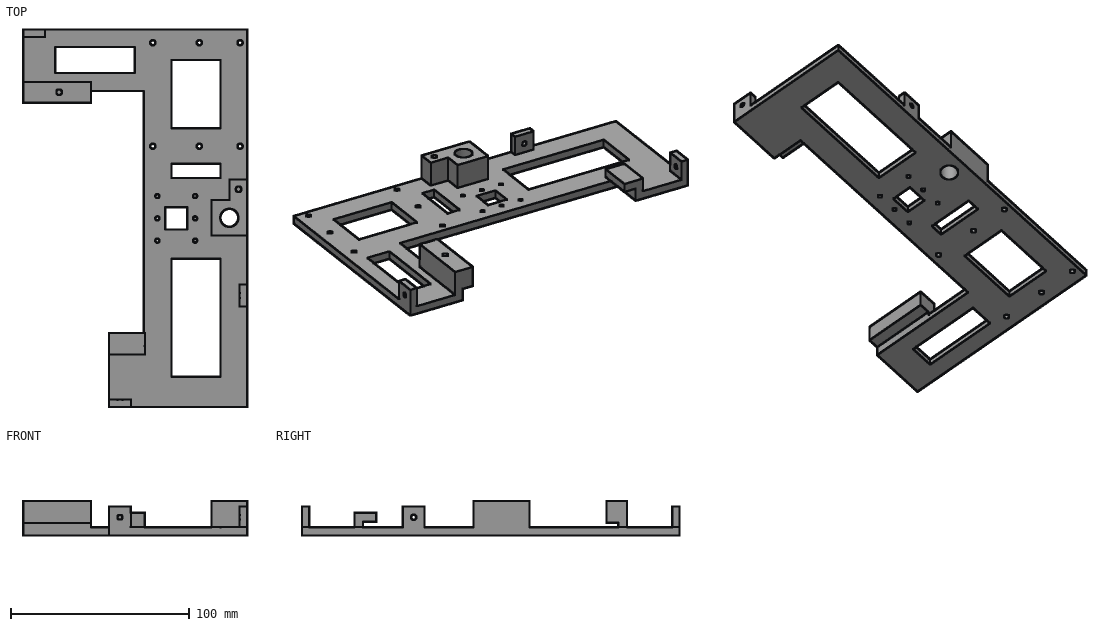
import cadquery as cq

length = 211.8
width = 125.5
plate_thickness = 4.9
column_left = 67.5
arm_front = 177.3
foot_left = 48.0
foot_back = 34.3

block_top = 19.5
tab_top = 16.5

arm_window = (18.0, 62.5, 187.5, 201.8)
column_window_left = 83.2
column_window_right = 110.5
column_window_spans = [(17.2, 83.2), (128.5, 136.5), (156.5, 194.6)]
square_window_side = 12.3
square_window_x = 85.8
square_window_y = 106.0

large_mount_diameter = 2.8
large_mount_columns = [72.6, 98.7, 121.5]
large_mount_rows = [146.4, 204.4]
small_mount_diameter = 2.1
small_mount_pitch_x = 21.2
small_mount_pitch_y = 12.5

tab_width = 12.3
tab_thickness = 4.2
tab_hole_diameter = 2.8
tab_hole_z = 10.4
side_tab_y = 62.7

clamp_width = 38.1
clamp_front = 170.7
clamp_back = 182.4
clamp_underside = 7.2
clamp_hole_x = 20.1
clamp_hole_y = 176.6

hook_width = 20.1
hook_front = 29.5
hook_back = 41.7
hook_top = 13.0
hook_underside = 7.8

boss_width = 20.1
boss_front = 96.2
boss_bore_diameter = 10.0
boss_ear_width = 10.0
boss_ear_length = 11.5
boss_ear_hole_x = 120.7
boss_ear_hole_y = 122.2

screw_diameter = 3.2
screw_depth = 10.0


def box(x_min, x_max, y_min, y_max, z_min, z_max):
    size = (x_max - x_min, y_max - y_min, z_max - z_min)
    return cq.Workplane("XY").box(*size, centered=False).translate((x_min, y_min, z_min))


def vertical_hole(x, y, diameter, bottom, top):
    return cq.Workplane("XY", origin=(x, y, bottom)).circle(diameter / 2).extrude(top - bottom)


def make_plate():
    outline = [
        (foot_left, 0),
        (width, 0),
        (width, length),
        (0, length),
        (0, arm_front),
        (column_left, arm_front),
        (column_left, foot_back),
        (foot_left, foot_back),
    ]
    plate = cq.Workplane("XY").polyline(outline).close().extrude(plate_thickness)

    plate = plate.cut(box(*arm_window, 0, plate_thickness))
    for y_min, y_max in column_window_spans:
        plate = plate.cut(box(column_window_left, column_window_right, y_min, y_max, 0, plate_thickness))
    square_window = (
        cq.Workplane("XY", origin=(square_window_x, square_window_y, 0))
        .rect(square_window_side, square_window_side)
        .extrude(plate_thickness)
    )
    plate = plate.cut(square_window)

    for x in large_mount_columns:
        for y in large_mount_rows:
            plate = plate.cut(vertical_hole(x, y, large_mount_diameter, 0, plate_thickness))
    for side in (-0.5, 0.5):
        for row in (-1, 0, 1):
            x = square_window_x + side * small_mount_pitch_x
            y = square_window_y + row * small_mount_pitch_y
            plate = plate.cut(vertical_hole(x, y, small_mount_diameter, 0, plate_thickness))
    return plate


def make_end_tab(left, front):
    """Tab standing across Y, rising from the underside of the plate."""
    tab = box(left, left + tab_width, front, front + tab_thickness, 0, tab_top)
    hole = (
        cq.Workplane("XZ", origin=(left + tab_width / 2, front + tab_thickness, tab_hole_z))
        .circle(tab_hole_diameter / 2)
        .extrude(tab_thickness)
    )
    return tab.cut(hole)


def make_side_tab():
    """Tab standing along the right edge of the plate."""
    left = width - tab_thickness
    tab = box(left, width, side_tab_y - tab_width / 2, side_tab_y + tab_width / 2, 0, tab_top)
    hole = (
        cq.Workplane("YZ", origin=(left, side_tab_y, tab_hole_z))
        .circle(tab_hole_diameter / 2)
        .extrude(tab_thickness)
    )
    return tab.cut(hole)


def make_clamp():
    stem = box(0, clamp_width, arm_front, clamp_back, 0, block_top)
    head = box(0, clamp_width, clamp_front, clamp_back, clamp_underside, block_top)
    screw = vertical_hole(clamp_hole_x, clamp_hole_y, screw_diameter, block_top - screw_depth, block_top)
    return stem.union(head).cut(screw)


def make_hook():
    right = foot_left + hook_width
    stem = box(foot_left, right, hook_front, foot_back, 0, hook_top)
    head = box(foot_left, right, hook_front, hook_back, hook_underside, hook_top)
    return stem.union(head)


def make_boss():
    boss_back = boss_front + boss_width
    body = box(width - boss_width, width, boss_front, boss_back, 0, block_top)
    ear = box(width - boss_ear_width, width, boss_back, boss_back + boss_ear_length, 0, block_top)
    screw = vertical_hole(
        boss_ear_hole_x, boss_ear_hole_y, screw_diameter, block_top - screw_depth, block_top
    )
    return body.union(ear).cut(screw)


result = make_plate()
result = result.union(make_end_tab(0, length - tab_thickness))
result = result.union(make_end_tab(foot_left, 0))
result = result.union(make_side_tab())
result = result.union(make_clamp())
result = result.union(make_hook())
result = result.union(make_boss())

boss_bore = vertical_hole(
    width - boss_width / 2, boss_front + boss_width / 2, boss_bore_diameter, 0, block_top
)
result = result.cut(boss_bore)